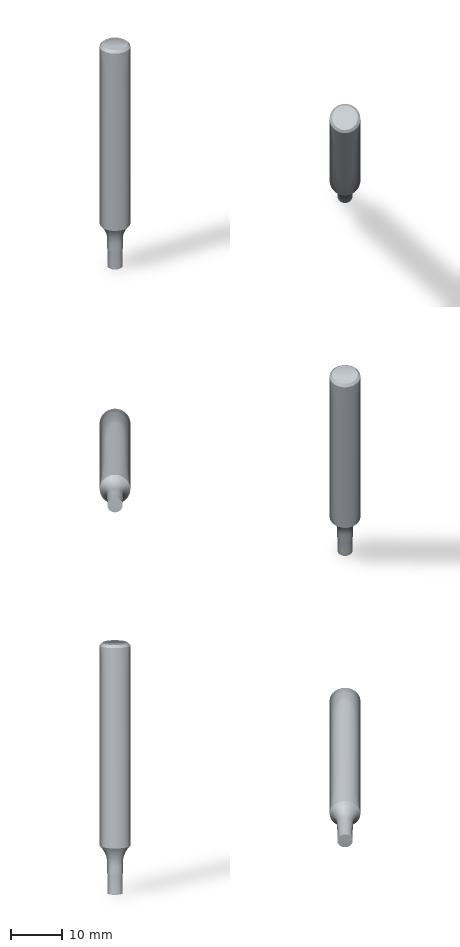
import cadquery as cq
import math

total_length = 50.0
shank_radius = 6.0 / 2
shank_chamfer = 0.5

tip_radius = 3.0 / 2
tip_length = 4.0
land_height = 0.15
waist_depth = 0.05

neck_radius = 3.05 / 2
neck_length = 2.0
flare_radius = 5.0

neck_top = tip_length + neck_length
flare_rise = shank_radius - neck_radius
flare_centre = neck_radius + flare_radius


def flare_height(rise):
    """Height above the neck at which the tangent flare arc has moved outward by rise."""
    return math.sqrt(flare_radius**2 - (flare_radius - rise) ** 2)


def make_tip():
    """Revolved tip: short cylindrical land at the bottom, then a slightly waisted side."""
    waist_middle = (tip_radius - waist_depth, (land_height + tip_length) / 2)
    return (
        cq.Workplane("XZ")
        .lineTo(tip_radius, 0)
        .lineTo(tip_radius, land_height)
        .threePointArc(waist_middle, (tip_radius, tip_length))
        .lineTo(0, tip_length)
        .close()
        .revolve(360, (0, 0, 0), (0, 1, 0))
    )


def make_shank():
    """Revolved shank: straight neck, concave flare tangent to the neck, chamfered upper end."""
    flare_top = neck_top + flare_height(flare_rise)
    half_angle = math.asin((flare_top - neck_top) / flare_radius) / 2
    flare_middle = (
        flare_centre - flare_radius * math.cos(half_angle),
        neck_top + flare_radius * math.sin(half_angle),
    )
    return (
        cq.Workplane("XZ")
        .moveTo(0, tip_length)
        .lineTo(neck_radius, tip_length)
        .lineTo(neck_radius, neck_top)
        .threePointArc(flare_middle, (shank_radius, flare_top))
        .lineTo(shank_radius, total_length - shank_chamfer)
        .lineTo(shank_radius - shank_chamfer, total_length)
        .lineTo(0, total_length)
        .close()
        .revolve(360, (0, 0, 0), (0, 1, 0))
    )


tip = make_tip()
shank = make_shank()

result = cq.Compound.makeCompound([tip.val(), shank.val()])